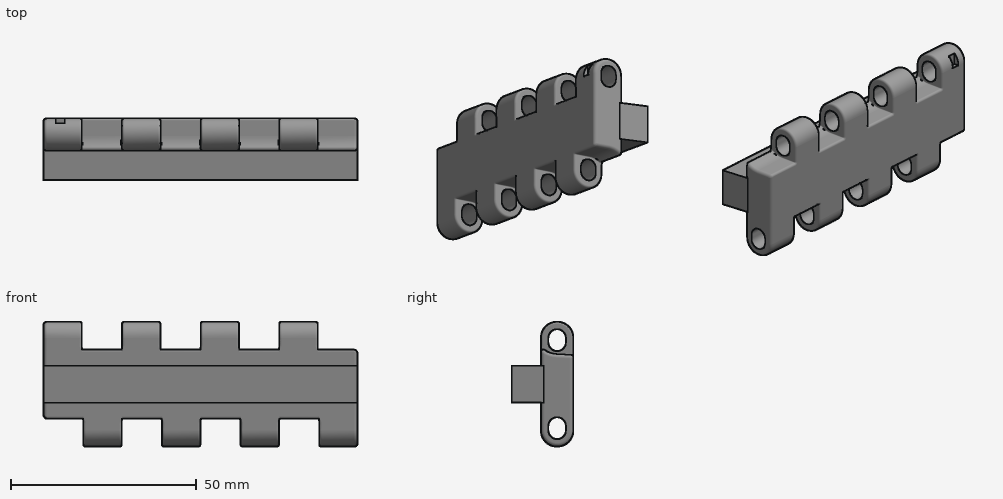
import cadquery as cq
import math

length = 84.7
height = 33.7
plate_thickness = 8.8

knuckle_count = 4
knuckle_width = 10.4
end_radius = 1.0
edge_radius = 0.7
root_radius = 0.25
slot_width = 4.7
slot_height = 5.85

floor_depth = 8.7
floor_slope = 3.3
floor_bend_y = -0.3
floor_arc_radius = 5.5
floor_arc_end = 65.0

bar_size = 10.0
bar_reach = 7.9
bar_embed = 0.85

notch_start = 3.3
notch_width = 2.45
notch_depth = 1.35

pitch = length / knuckle_count
half_thickness = plate_thickness / 2
half_height = height / 2
pin_axis_z = half_height - half_thickness
cut_margin = 1.7
tolerance = 0.01


def floor_arc_point(slope):
    """(y, z) on the floor arc where its slope is the given angle in degrees."""
    begin = math.radians(floor_slope)
    angle = math.radians(slope)
    y = floor_bend_y - floor_arc_radius * (math.sin(angle) - math.sin(begin))
    z = half_height - floor_depth + floor_arc_radius * (math.cos(begin) - math.cos(angle))
    return y, z


def make_gap(start, end):
    """Cutter for the gap beside one upper knuckle."""
    bend_y, bend_z = floor_arc_point(floor_slope)
    front_y, front_z = floor_arc_point(floor_arc_end)
    back_y = half_thickness + cut_margin
    back_z = bend_z - (back_y - bend_y) * math.tan(math.radians(floor_slope))
    top_z = half_height + cut_margin
    arc_middle = floor_arc_point((floor_slope + floor_arc_end) / 2)
    return (
        cq.Workplane("YZ", origin=(start, 0, 0))
        .moveTo(back_y, back_z)
        .lineTo(bend_y, bend_z)
        .threePointArc(arc_middle, (front_y, front_z))
        .lineTo(front_y, top_z)
        .lineTo(back_y, top_z)
        .close()
        .extrude(end - start)
    )


def cut_gaps(plate):
    """Cut the upper gaps, and the lower ones half a turn away about Y."""
    for index in range(knuckle_count):
        start = index * pitch + knuckle_width
        end = (index + 1) * pitch
        if index == knuckle_count - 1:
            end += cut_margin
        gap = make_gap(start, end)
        turned_gap = gap.rotate((length / 2, 0, 0), (length / 2, 1, 0), 180)
        plate = plate.cut(gap).cut(turned_gap)
    return plate


def on_plate_face(edge):
    """True for edges lying in the front or back face of the plate."""
    return abs(abs(edge.Center().y) - half_thickness) < tolerance


def in_gap_floor(edge):
    """True for edges at the height of a gap floor, nearer the middle than the pins."""
    return abs(edge.Center().z) < pin_axis_z - tolerance


def side_edges(plate):
    """Edges of the knuckle sides, leaving out the two end faces of the plate."""
    return plate.faces("|X exc (<X or >X)").edges().vals()


def round_edges(plate):
    """Round the gap roots, then the gap outlines, then all around the end faces."""
    roots = [edge for edge in side_edges(plate) if in_gap_floor(edge) and not on_plate_face(edge)]
    plate = plate.newObject(roots).fillet(root_radius)

    rims = [edge for edge in plate.edges("|X").vals() if in_gap_floor(edge) and on_plate_face(edge)]
    outlines = [edge for edge in side_edges(plate) if on_plate_face(edge) or not in_gap_floor(edge)]
    plate = plate.newObject(rims + outlines).fillet(edge_radius)

    return plate.faces("<X or >X").edges().fillet(end_radius)


def make_pin_slots():
    """One slot along each row of knuckles, its outer arc centred on the pin axis."""
    center_z = pin_axis_z - (slot_height - slot_width) / 2
    return (
        cq.Workplane("YZ")
        .pushPoints([(0, center_z), (0, -center_z)])
        .slot2D(slot_height, slot_width, 90)
        .extrude(length)
    )


def make_bar():
    return cq.Workplane("XY").box(
        length, bar_reach + bar_embed, bar_size, centered=(False, False, True)
    ).translate((0, -half_thickness - bar_reach, 0))


def make_notch():
    """Cutter reaching from the pin axis height up through the knuckle top."""
    return cq.Workplane("XY").box(
        notch_width, notch_depth, half_thickness, centered=False
    ).translate((notch_start, half_thickness - notch_depth, pin_axis_z))


plate = cq.Workplane("YZ").slot2D(height, plate_thickness, 90).extrude(length)
plate = round_edges(cut_gaps(plate))
result = plate.cut(make_pin_slots()).cut(make_notch()).union(make_bar())